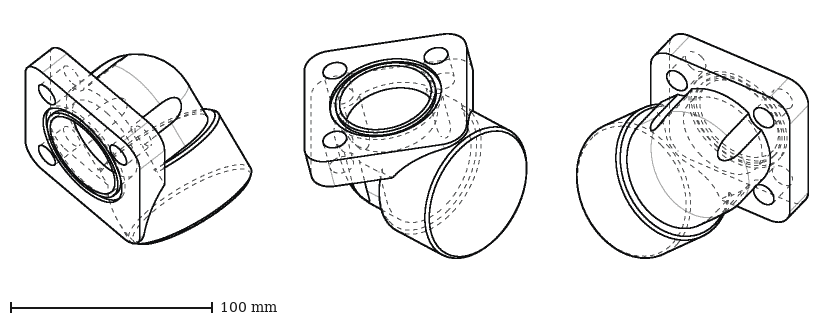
import cadquery as cq
import math

flange_side = 82.0
flange_thickness = 17.0
flange_corner_radius = 12.0
hole_diameter = 12.0
hole_spacing = 51.2
bolt_clearance_radius = 9.0

bore_diameter = 46.4
bore_depth = 15.0
groove_inner_diameter = 50.6
groove_outer_diameter = 56.5
groove_depth = 2.0

outlet_angle = 45

elbow_radius = 29.5
elbow_center_y = 37.0
socket_radius = 35.1
socket_start = 20.0
socket_chamfer = 1.6
overall_length = 104.2
rim_reach = (overall_length - flange_side / 2) / math.cos(math.radians(outlet_angle))
socket_end = rim_reach - socket_radius + socket_chamfer

half_spacing = hole_spacing / 2
bolt_corners = [
    (-half_spacing, half_spacing),
    (half_spacing, half_spacing),
    (-half_spacing, -half_spacing),
]


def cylinder_back(radius, length, start_y, x=0, z=0):
    """Cylinder running from start_y towards +Y."""
    return cq.Workplane(cq.Solid.makeCylinder(radius, length, cq.Vector(x, start_y, z), cq.Vector(0, 1, 0)))


def make_flange():
    plate = cq.Workplane("XY").box(flange_side, flange_thickness, flange_side)
    plate = plate.edges("|Y").fillet(flange_corner_radius)
    return plate.translate((0, flange_thickness / 2, 0))


def turn_to_outlet(part):
    """Turn a part built along +X so that it points along the outlet."""
    return part.rotate((0, 0, 0), (0, 1, 0), outlet_angle)


def make_elbow():
    """Round-ended body: straight-sided from the flange to the outlet axis, domed behind it."""
    straight = (
        cq.Workplane("XZ", origin=(0, flange_thickness, 0))
        .moveTo(socket_start, elbow_radius)
        .lineTo(0, elbow_radius)
        .threePointArc((-elbow_radius, 0), (0, -elbow_radius))
        .lineTo(socket_start, -elbow_radius)
        .close()
        .extrude(flange_thickness - elbow_center_y)
    )
    arc_middle = elbow_radius * math.sqrt(0.5)
    dome = (
        cq.Workplane("XZ", origin=(0, elbow_center_y, 0))
        .moveTo(-elbow_radius, 0)
        .threePointArc((-arc_middle, arc_middle), (0, elbow_radius))
        .lineTo(socket_start, elbow_radius)
        .lineTo(socket_start, 0)
        .close()
        .revolve(180, (1, 0, 0), (0, 0, 0))
    )
    return turn_to_outlet(straight.union(dome))


def make_socket():
    socket = (
        cq.Workplane("YZ", origin=(socket_start, elbow_center_y, 0))
        .circle(socket_radius)
        .extrude(socket_end - socket_start)
        .edges("%CIRCLE")
        .chamfer(socket_chamfer)
    )
    return turn_to_outlet(socket)


def make_seal_groove():
    outer = cylinder_back(groove_outer_diameter / 2, groove_depth, 0)
    return outer.cut(cylinder_back(groove_inner_diameter / 2, groove_depth, 0))


elbow = make_elbow()
for x, z in bolt_corners:
    flute = cylinder_back(bolt_clearance_radius, elbow_center_y + elbow_radius, flange_thickness, x, z)
    elbow = elbow.cut(flute)

result = make_flange().union(elbow).union(make_socket())
for x, z in bolt_corners:
    result = result.cut(cylinder_back(hole_diameter / 2, flange_thickness, 0, x, z))
result = result.cut(cylinder_back(bore_diameter / 2, bore_depth, 0))
result = result.cut(make_seal_groove())